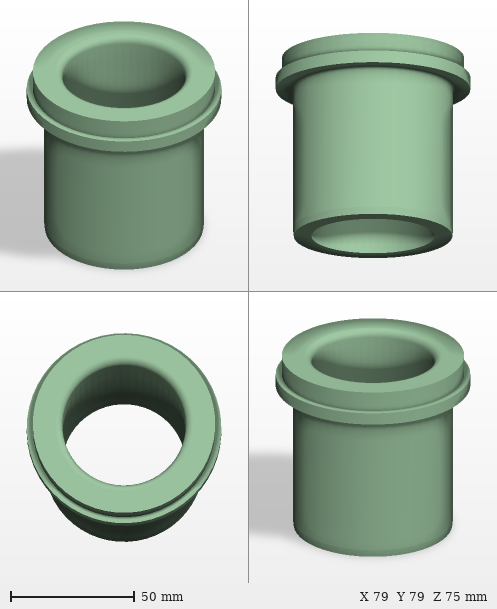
import cadquery as cq

total_height = 75.0
flange_diameter = 79.0
flange_thickness = 5.0
collar_diameter = 74.0
collar_height = 8.1
body_diameter = 65.0
bore_diameter = 50.0
bore_lip_radius = 3.0
neck_fillet_radius = 0.8
lead_in_height = 3.0
lead_in_inset = 0.3

flange_top = total_height - collar_height
flange_bottom = flange_top - flange_thickness

sleeve = (
    cq.Workplane("XY")
    .circle(body_diameter / 2)
    .extrude(flange_bottom)
    .faces("<Z")
    .edges()
    .chamfer(lead_in_height, lead_in_inset)
)

flange = cq.Workplane("XY", origin=(0, 0, flange_bottom)).circle(flange_diameter / 2).extrude(flange_thickness)
collar = cq.Workplane("XY", origin=(0, 0, flange_top)).circle(collar_diameter / 2).extrude(collar_height)
bushing = sleeve.union(flange).union(collar)

neck_edge = cq.selectors.RadiusNthSelector(1)
bushing = bushing.edges(neck_edge).edges(">Z").fillet(neck_fillet_radius)

bushing = bushing.faces(">Z").workplane().hole(bore_diameter)
result = bushing.faces(">Z").edges(cq.selectors.RadiusNthSelector(0)).fillet(bore_lip_radius)